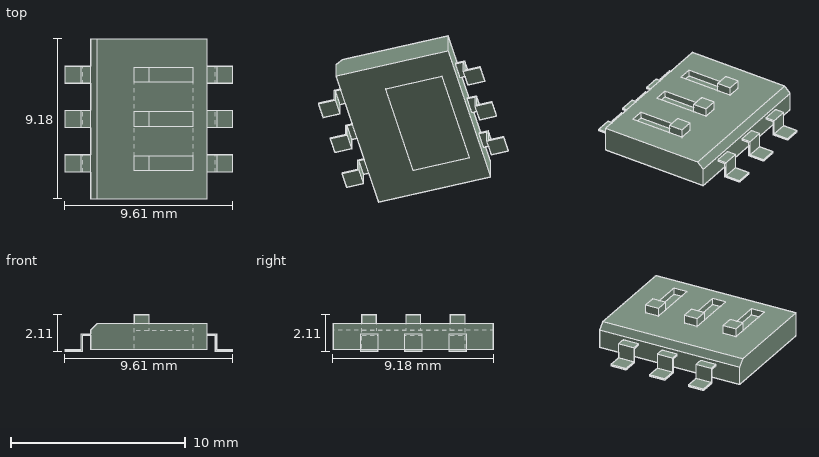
import cadquery as cq

overall_span = 9.61
position_count = 3
position_pitch = 2.54

housing_width = 6.67
housing_length = 9.18
housing_height = 1.51
standoff = 0.1
edge_chamfer = 0.37

slot_start_x = -0.84
slot_length = 3.35
slot_width = 0.85
slot_depth = 0.4
knob_length = 0.85
knob_rise = 0.5

lead_width = 1.0
lead_thickness = 0.1
lead_height = 1.01
foot_length = 1.01

housing_top = standoff + housing_height
slot_floor = housing_top - slot_depth
slot_center_x = slot_start_x + slot_length / 2
insert_length = (position_count - 1) * position_pitch + slot_width
position_ys = [(i - (position_count - 1) / 2) * position_pitch for i in range(position_count)]


def block(length, width, bottom, top, center_x, center_y):
    """Upright box between two heights, centred at the given X and Y."""
    return (
        cq.Workplane("XY", origin=(center_x, center_y, bottom))
        .rect(length, width)
        .extrude(top - bottom)
    )


def make_insert_base():
    """Block under all the slots: its top is the slot floors, its bottom is flush with the housing."""
    return block(slot_length, insert_length, standoff, slot_floor, slot_center_x, 0)


def make_housing():
    """Box with a chamfered -X top edge, a recess from below for the insert, and open slots above it."""
    housing = block(housing_width, housing_length, standoff, housing_top, 0, 0)
    housing = housing.faces(">Z").edges("<X").chamfer(edge_chamfer)
    housing = housing.cut(make_insert_base())
    for y in position_ys:
        housing = housing.cut(block(slot_length, slot_width, slot_floor, housing_top, slot_center_x, y))
    return housing


def make_slider_insert():
    """Insert base and the knobs that rise from it through the slots."""
    insert = make_insert_base()
    knob_center_x = slot_start_x + knob_length / 2
    knob_top = housing_top + knob_rise
    for y in position_ys:
        insert = insert.union(block(knob_length, slot_width, slot_floor, knob_top, knob_center_x, y))
    return insert


def make_lead(side, center_y):
    """Z-shaped strip from the housing wall to the mounting plane; side is -1 or 1 along X."""
    wall_x = side * housing_width / 2
    tip_x = side * overall_span / 2
    leg_inner_x = tip_x - side * foot_length
    leg_outer_x = leg_inner_x + side * lead_thickness
    outline = [
        (wall_x, lead_height),
        (leg_outer_x, lead_height),
        (leg_outer_x, lead_thickness),
        (tip_x, lead_thickness),
        (tip_x, 0),
        (leg_inner_x, 0),
        (leg_inner_x, lead_height - lead_thickness),
        (wall_x, lead_height - lead_thickness),
    ]
    return (
        cq.Workplane("XZ", origin=(0, center_y, 0))
        .polyline(outline)
        .close()
        .extrude(lead_width / 2, both=True)
    )


housing = make_housing()
slider_insert = make_slider_insert()
leads = [make_lead(side, y).val() for side in (-1, 1) for y in position_ys]

result = cq.Compound.makeCompound([housing.val(), slider_insert.val(), *leads])